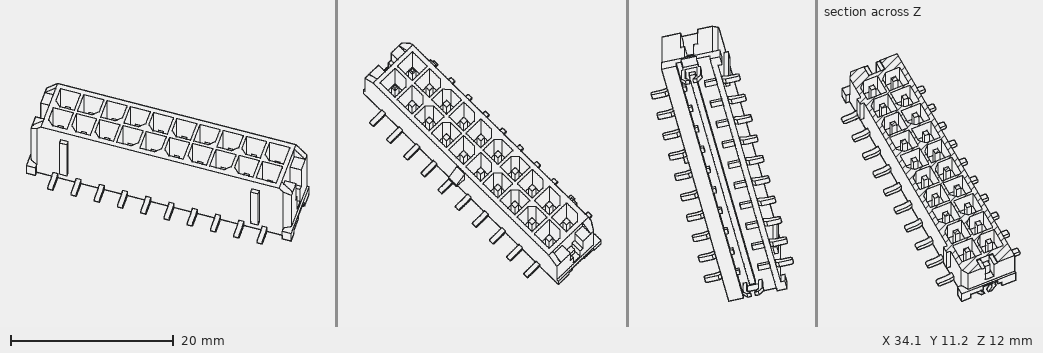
import cadquery as cq

body_length = 33.6
body_width = 6.9
body_height = 9.9
wall_half_length = 15.37
end_chamfer_height = 1.6
shoulder_height = body_height - end_chamfer_height
corner_chamfer_x = 0.92
corner_chamfer_y = 0.5
shoulder_front = -2.42
shoulder_back = 2.73

wide_slot_width = 2.15
wide_slot_floor = 4.8
narrow_slot_width = 1.15
narrow_slot_floor = 2.25
slot_tab_width = 0.85
slot_tab_half_length = 16.0
slot_tab_top = 3.85

base_length = 34.15
base_height = 1.65
base_front = -3.95
foot_length = 1.15
channel_front = -2.7
channel_back = 1.57
channel_height = 0.72
keel_width = 0.75
clip_window_width = 1.95
clip_window_top = 1.33

columns = 10
pitch = 3.0
row_offset = pitch / 2
cell_size = 2.6
cell_chamfer = 0.72
cell_floor = 2.25
pin_size = 0.65
pin_top = 7.85
tip_chamfer = 0.17
tail_reach = 5.6
tail_rise = 0.25
bend_start = 3.45
bend_end = 4.25
underside_bend_end = 3.82
back_row_keys = "LRRRLLRRLL"
front_row_keys = "LLLRRLLRL-"

rib_width = 0.95
rib_spacing = 24.65

latch_width = 1.35
latch_reach = 4.9
latch_step_reach = 3.9
latch_top = 9.3
latch_nose_top = 7.72
latch_nose_bottom = 7.0
latch_root = 6.52

clip_outer_x = 15.9
clip_thickness = 0.5
clip_depth = 2.05
leg_outer = 1.2
leg_inner = 0.75
barb_reach = 1.33
barb_top = -1.05
barb_bottom = -1.23
tip_outer = 0.72
tip_inner = 0.25

half_length = body_length / 2
half_width = body_width / 2
half_base = base_length / 2


def block(x_min, x_max, y_min, y_max, z_min, z_max):
    """Box between two opposite corners."""
    box = cq.Workplane("XY").box(x_max - x_min, y_max - y_min, z_max - z_min, centered=False)
    return box.translate((x_min, y_min, z_min))


def side_profile(points, x_center, width):
    """Outline of (y, z) points extruded along X about x_center."""
    sketch = cq.Workplane("YZ", origin=(x_center, 0, 0)).polyline(points).close()
    return sketch.extrude(width / 2, both=True)


def at_both_ends(shape):
    """The shape together with its mirror image at the other X end."""
    return shape.union(shape.mirror("YZ"))


def column_x(column):
    return (column - (columns - 1) / 2) * pitch


def make_housing():
    front_shape = [
        (-half_length, 0),
        (half_length, 0),
        (half_length, shoulder_height),
        (wall_half_length, body_height),
        (-wall_half_length, body_height),
        (-half_length, shoulder_height),
    ]
    housing = cq.Workplane("XZ").polyline(front_shape).close().extrude(half_width, both=True)
    plan_shape = [
        (-half_length, half_width),
        (half_length, half_width),
        (half_length, corner_chamfer_y - half_width),
        (half_length - corner_chamfer_x, -half_width),
        (corner_chamfer_x - half_length, -half_width),
        (-half_length, corner_chamfer_y - half_width),
    ]
    return housing.intersect(cq.Workplane("XY").polyline(plan_shape).close().extrude(body_height))


def make_end_cuts():
    """Shoulder recess and stepped key slot, cut back to the end walls."""
    cuts = block(-half_base, -wall_half_length, shoulder_front, shoulder_back, shoulder_height, body_height)
    for width, floor in ((wide_slot_width, wide_slot_floor), (narrow_slot_width, narrow_slot_floor)):
        cuts = cuts.union(
            block(-half_base, -wall_half_length, -width / 2, width / 2, floor, body_height)
        )
    return at_both_ends(cuts)


def make_slot_tabs():
    half_tab = slot_tab_width / 2
    tab = block(
        -slot_tab_half_length, -wall_half_length, -half_tab, half_tab, narrow_slot_floor, slot_tab_top
    )
    return at_both_ends(tab)


def make_base():
    base = block(-half_base, half_base, -half_width, half_width, 0, base_height)
    foot = block(-half_base, foot_length - half_base, base_front, -half_width, 0, base_height)
    return base.union(at_both_ends(foot))


def make_underside_cuts():
    """Full-length channel under the base with a window to the clip at each end."""
    channel = block(-half_base, half_base, channel_front, channel_back, 0, channel_height)
    half_window = clip_window_width / 2
    window = block(-half_base, -clip_outer_x, -half_window, half_window, channel_height, clip_window_top)
    return channel.union(at_both_ends(window))


def make_keel():
    half_keel = keel_width / 2
    return block(-wall_half_length, wall_half_length, -half_keel, half_keel, 0, channel_height)


def make_cell(x, y, key):
    depth = body_height - cell_floor
    cell = cq.Workplane("XY", origin=(x, y, cell_floor)).rect(cell_size, cell_size).extrude(depth)
    corner_edges = {"L": "<X and <Y", "R": ">X and <Y"}
    if key in corner_edges:
        cell = cell.edges("|Z").edges(corner_edges[key]).chamfer(cell_chamfer)
    return cell


def make_contact(x, row_side, tapered):
    """Square pin with a tail that leaves the housing and steps down to board level."""
    post_inner = row_offset - pin_size / 2
    post_outer = row_offset + pin_size / 2
    half_pin = pin_size / 2
    round_start = tail_reach - half_pin
    tail_outline = (
        cq.Workplane("YZ", origin=(x, 0, 0))
        .moveTo(post_inner, tail_rise)
        .lineTo(bend_start, tail_rise)
        .lineTo(underside_bend_end, 0)
        .lineTo(round_start, 0)
        .threePointArc((tail_reach, half_pin), (round_start, pin_size))
        .lineTo(bend_end, pin_size)
        .lineTo(bend_start, tail_rise + pin_size)
        .lineTo(post_inner, tail_rise + pin_size)
        .close()
    )
    tail = tail_outline.extrude(half_pin, both=True)
    post = block(x - half_pin, x + half_pin, post_inner, post_outer, tail_rise, pin_top)
    if tapered:
        post = post.faces(">Z").chamfer(tip_chamfer)
    contact = post.union(tail)
    return contact if row_side > 0 else contact.mirror("XZ")


def make_ribs():
    rib_inner = (rib_spacing - rib_width) / 2
    rib_outer = (rib_spacing + rib_width) / 2
    rib = block(-rib_outer, -rib_inner, base_front, -half_width, base_height, shoulder_height)
    return at_both_ends(rib)


def make_latch():
    outline = [
        (half_width, latch_root),
        (latch_step_reach, latch_nose_bottom),
        (latch_reach, latch_nose_bottom),
        (latch_reach, latch_nose_top),
        (half_width, latch_top),
    ]
    return side_profile(outline, 0, latch_width)


def make_clips():
    """Pair of barbed legs below each end of the base."""
    outline = [
        (leg_inner, channel_height),
        (leg_outer, channel_height),
        (leg_outer, barb_top),
        (barb_reach, barb_bottom),
        (tip_outer, -clip_depth),
        (tip_inner, -clip_depth),
        (leg_inner, barb_bottom),
    ]
    leg = side_profile(outline, clip_thickness / 2 - clip_outer_x, clip_thickness)
    return at_both_ends(leg.union(leg.mirror("XZ")))


result = make_housing().cut(make_end_cuts()).union(make_base()).cut(make_underside_cuts())
for addition in (make_slot_tabs(), make_keel(), make_ribs(), make_latch(), make_clips()):
    result = result.union(addition)

rows = ((1, back_row_keys), (-1, front_row_keys))
for row_side, keys in rows:
    for column, key in enumerate(keys):
        result = result.cut(make_cell(column_x(column), row_side * row_offset, key))

for row_side, _ in rows:
    for column in range(columns):
        tapered = column == columns - 1
        result = result.union(make_contact(column_x(column), row_side, tapered))